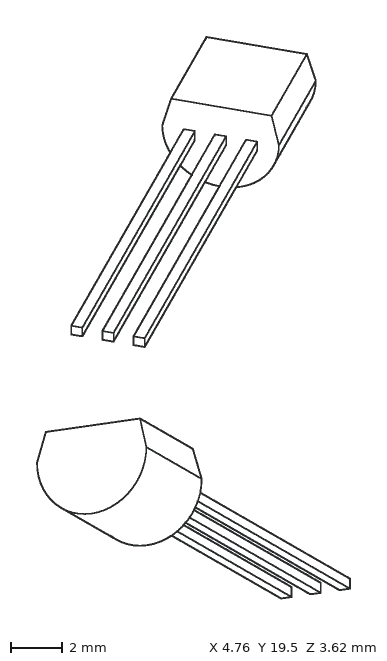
import cadquery as cq
import math

body_width = 4.76
body_length = 4.83
body_height = 3.62
overall_length = 19.52
side_draft_angle = 15.0
end_draft_angle = 5.0

lead_count = 3
lead_pitch = 1.27
lead_width = 0.46
lead_thickness = 0.41

body_radius = body_width / 2
cap_height = body_height - body_radius
cap_side_inset = cap_height * math.tan(math.radians(side_draft_angle))
cap_end_inset = cap_height * math.tan(math.radians(end_draft_angle))
lead_length = overall_length - body_length
body_front_y = -body_length / 2


def make_round_half():
    """Half cylinder below the parting plane."""
    return (
        cq.Workplane("XZ", origin=(0, body_length / 2, 0))
        .moveTo(-body_radius, 0)
        .threePointArc((0, -body_radius), (body_radius, 0))
        .close()
        .extrude(body_length)
    )


def make_tapered_cap():
    """Cap above the parting plane, narrowing on all four sides up to its flat top."""
    return (
        cq.Workplane("XY")
        .rect(body_width, body_length)
        .workplane(offset=cap_height)
        .rect(body_width - 2 * cap_side_inset, body_length - 2 * cap_end_inset)
        .loft(ruled=True)
    )


def make_lead(x):
    """Straight rectangular lead whose upper face lies on the parting plane."""
    return (
        cq.Workplane("XZ", origin=(x, body_front_y, -lead_thickness / 2))
        .rect(lead_width, lead_thickness)
        .extrude(lead_length)
    )


result = make_round_half().union(make_tapered_cap())
for index in range(lead_count):
    lead_x = (index - (lead_count - 1) / 2) * lead_pitch
    result = result.union(make_lead(lead_x))